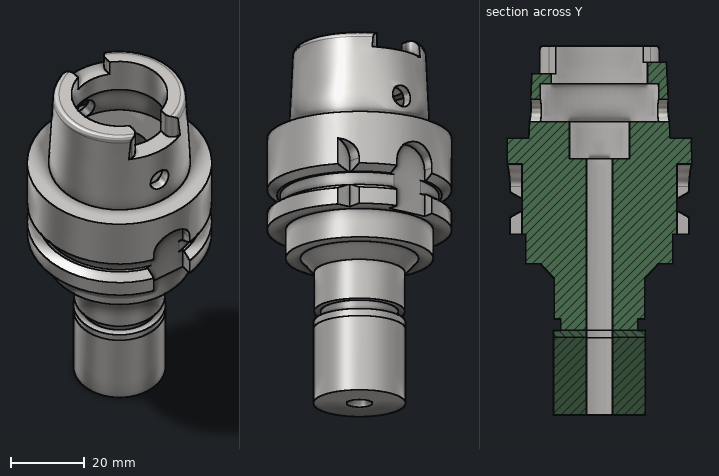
import cadquery as cq
import math


taper_height = 25.0
gauge_radius = 19.2
taper_slope = 1 / 20
taper_top_radius = gauge_radius - taper_slope * taper_height
rim_fillet = 1.6

flange_radius = 25.0
flange_bottom = -26.0
groove_middle = -18.0
groove_root_width = 3.75
groove_root_radius = 21.5
groove_side_root_radius = 22.35
groove_side_angle = math.radians(30)
groove_root_top = groove_middle + groove_root_width / 2
groove_root_bottom = groove_middle - groove_root_width / 2
groove_side_height = (flange_radius - groove_side_root_radius) * math.tan(groove_side_angle)

collar_radius = 20.0
collar_bottom = -34.0
neck_radius = 12.3
neck_cone_top_radius = 16.0
neck_cone_bottom = -38.0
neck_bottom = -49.0
relief_radius = 10.5
holder_bottom = -52.0

sleeve_radius = 12.5
ring_bottom = -54.0
sleeve_bottom = -75.0

cross_hole_radius = 3.0
cross_hole_height = 7.5

mouth_radius = 13.0
mouth_bottom = 14.7
chamber_radius = 16.0
chamber_floor = cross_hole_height - cross_hole_radius
tube_seat_radius = 8.1
tube_seat_depth = 10.0
through_radius = 3.5

notch_half_width = 5.25
notch_corner_radius = 2.5
lug_half_length = 16.2
shallow_notch_floor = 20.6
deep_notch_floor = 17.5

slot_width = 12.0
slot_end_centre = -13.0
key_slot_floor = 21.0
side_slot_floor = 15.6
side_slot_wall = 15.4


def cylinder(radius, bottom, top):
    return cq.Workplane("XY").workplane(offset=bottom).circle(radius).extrude(top - bottom)


def holder_blank():
    outline = (
        cq.Workplane("XZ")
        .moveTo(0, taper_height)
        .lineTo(taper_top_radius, taper_height)
        .lineTo(gauge_radius, 0)
        .lineTo(flange_radius, 0)
        .lineTo(flange_radius, groove_root_top + groove_side_height)
        .lineTo(groove_side_root_radius, groove_root_top)
        .lineTo(groove_root_radius, groove_root_top)
        .lineTo(groove_root_radius, groove_root_bottom)
        .lineTo(groove_side_root_radius, groove_root_bottom)
        .lineTo(flange_radius, groove_root_bottom - groove_side_height)
        .lineTo(flange_radius, flange_bottom)
        .lineTo(collar_radius, flange_bottom)
        .lineTo(collar_radius, collar_bottom)
        .lineTo(neck_cone_top_radius, collar_bottom)
        .lineTo(neck_radius, neck_cone_bottom)
        .lineTo(neck_radius, neck_bottom)
        .lineTo(relief_radius, neck_bottom)
        .lineTo(relief_radius, holder_bottom)
        .lineTo(0, holder_bottom)
        .close()
    )
    blank = outline.revolve(360, (0, 0, 0), (0, 1, 0))
    return blank.faces(">Z").edges().fillet(rim_fillet)


def bores():
    mouth = cylinder(mouth_radius, mouth_bottom, taper_height)
    chamber = cylinder(chamber_radius, chamber_floor, mouth_bottom)
    tube_seat = cylinder(tube_seat_radius, chamber_floor - tube_seat_depth, chamber_floor)
    through = cylinder(through_radius, holder_bottom, chamber_floor)
    return mouth.union(chamber).union(tube_seat).union(through)


def rim_notch(side, floor):
    """Everything beyond the lugs on one side (-1 or +1 in X), above the given floor."""
    arc_start = lug_half_length - notch_corner_radius
    arc_end = notch_half_width + notch_corner_radius
    arc_step = notch_corner_radius * (1 - math.sqrt(0.5))
    arc_middle = (side * (lug_half_length - arc_step), notch_half_width + arc_step)
    half = (
        cq.Workplane("XY")
        .workplane(offset=floor)
        .lineTo(0, notch_half_width)
        .lineTo(side * arc_start, notch_half_width)
        .threePointArc(arc_middle, (side * lug_half_length, arc_end))
        .lineTo(side * lug_half_length, gauge_radius)
        .lineTo(side * gauge_radius, gauge_radius)
        .lineTo(side * gauge_radius, 0)
        .close()
        .extrude(taper_height - floor)
    )
    return half.union(half.mirror("XZ"))


def flange_slot(side, floor, centre_y):
    """Round-topped slot, open at the flange bottom, cut in from side (-1 or +1) to x = floor."""
    half_width = slot_width / 2
    return (
        cq.Workplane("YZ")
        .workplane(offset=side * floor)
        .moveTo(centre_y - half_width, flange_bottom)
        .lineTo(centre_y - half_width, slot_end_centre)
        .threePointArc((centre_y, slot_end_centre + half_width), (centre_y + half_width, slot_end_centre))
        .lineTo(centre_y + half_width, flange_bottom)
        .close()
        .extrude(side * (flange_radius - floor))
    )


def make_holder():
    cross_hole = (
        cq.Workplane("YZ")
        .center(0, cross_hole_height)
        .circle(cross_hole_radius)
        .extrude(gauge_radius, both=True)
    )
    body = holder_blank().cut(bores()).cut(cross_hole)
    for side, floor in ((-1, shallow_notch_floor), (1, deep_notch_floor)):
        body = body.cut(rim_notch(side, floor))
        body = body.cut(flange_slot(side, key_slot_floor, 0))
    return body.cut(flange_slot(-1, side_slot_floor, side_slot_wall + slot_width / 2))


def make_tube(bottom, top):
    return cylinder(sleeve_radius, bottom, top).cut(cylinder(through_radius, bottom, top))


holder = make_holder()
ring = make_tube(ring_bottom, holder_bottom)
sleeve = make_tube(sleeve_bottom, ring_bottom)

result = cq.Compound.makeCompound([holder.val(), ring.val(), sleeve.val()])